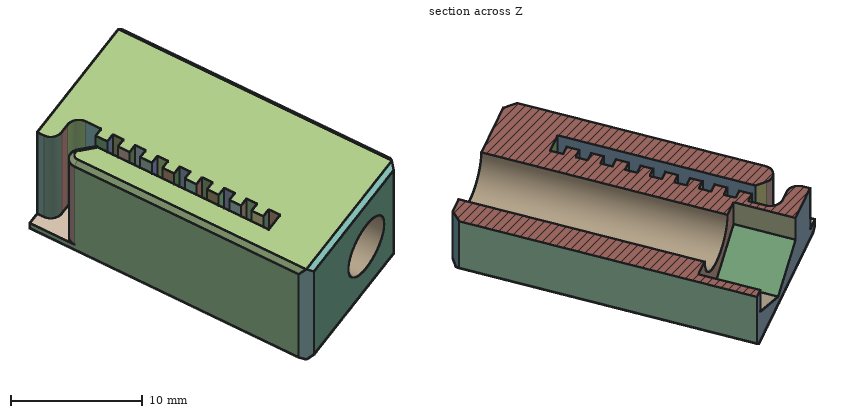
import cadquery as cq
import math

length = 24.9
width = 13.3
overall_height = 11.1
ridge_height = 0.1
height = overall_height - ridge_height
edge_chamfer = 0.42
corner_chamfer = 2 * edge_chamfer

bore_diameter = 5.2
bore_y = 8.47
bore_z = height / 2
hex_across_flats = 8.02
hex_depth = 5.0

slot_floor_z = 1.07
slot_front_y = 2.25
slot_back_y = 3.9
slot_end_x = 20.0
mouth_lip_y = 1.07
mouth_wall_x = 1.6
mouth_bend_radius = 1.0
tooth_count = 8
tooth_pitch = 2.0
tooth_width = 1.05
tooth_depth = 0.8
first_tooth_x = 3.98

nose_radius = 0.92
nose_x = 4.0
nose_start_angle = 135
nose_sweep = 135
ridge_thickness = 0.07
cut_margin = 0.25

diagonal = math.sqrt(0.5)
slope_start_x = nose_x - nose_radius * diagonal
slope_start_y = nose_radius * (1 + diagonal)
slope_end_x = slope_start_x + slot_front_y - slope_start_y


def make_block():
    blank = cq.Workplane("XY").box(length, width, height, centered=False)
    bevelled_sides = blank.edges("|X").chamfer(edge_chamfer)
    bevelled_end = blank.edges("|Y and >X").chamfer(edge_chamfer)
    cut_corners = blank.edges("|Z and >X").chamfer(corner_chamfer)
    return bevelled_sides.intersect(bevelled_end).intersect(cut_corners)


def make_bore():
    axis_plane = cq.Workplane("YZ").center(bore_y, bore_z)
    bore = axis_plane.circle(bore_diameter / 2).extrude(length)
    across_corners = hex_across_flats / math.cos(math.pi / 6)
    pocket = (
        axis_plane.transformed(rotate=(0, 0, 90))
        .polygon(6, across_corners)
        .extrude(hex_depth)
    )
    return bore.union(pocket)


def make_slot():
    r = mouth_bend_radius
    bend = r * diagonal
    slot = (
        cq.Workplane("XY", origin=(0, 0, slot_floor_z))
        .moveTo(-cut_margin, mouth_lip_y)
        .lineTo(mouth_wall_x - r, mouth_lip_y)
        .threePointArc(
            (mouth_wall_x - r + bend, mouth_lip_y + r - bend),
            (mouth_wall_x, mouth_lip_y + r),
        )
        .lineTo(mouth_wall_x, slot_back_y - r)
        .threePointArc(
            (mouth_wall_x + r - bend, slot_back_y - r + bend),
            (mouth_wall_x + r, slot_back_y),
        )
        .lineTo(slot_end_x, slot_back_y)
        .lineTo(slot_end_x, slot_front_y)
        .lineTo(slope_end_x, slot_front_y)
        .lineTo(slope_start_x, slope_start_y)
        .threePointArc((nose_x - nose_radius, nose_radius), (nose_x, 0))
        .lineTo(nose_x, -cut_margin)
        .lineTo(-cut_margin, -cut_margin)
        .close()
        .extrude(height)
    )
    for i in range(tooth_count):
        tooth = cq.Workplane("XY").box(tooth_width, tooth_depth, height, centered=False)
        tooth_x = first_tooth_x + i * tooth_pitch
        slot = slot.cut(tooth.translate((tooth_x, slot_back_y - tooth_depth, slot_floor_z)))
    return slot


def make_round_bevel():
    """Ring sector that bevels the top edge of the nose's round stretch."""
    return (
        cq.Workplane("XZ")
        .moveTo(nose_radius, height - edge_chamfer)
        .lineTo(nose_radius, height)
        .lineTo(nose_radius - edge_chamfer, height)
        .close()
        .revolve(nose_sweep, (0, 0), (0, 1))
        .rotate((0, 0, 0), (0, 0, 1), nose_start_angle)
        .translate((nose_x, nose_radius, 0))
    )


def slope_section():
    """Section across the nose's slope: local x points into the lever, local y points down."""
    return cq.Workplane(
        cq.Plane(origin=(slope_start_x, slope_start_y, height), xDir=(1, -1, 0), normal=(1, 1, 0))
    )


bevel_inner_y = slope_start_y - edge_chamfer * diagonal
bevel_length = (slot_front_y - bevel_inner_y) / diagonal


def make_slope_bevel():
    return (
        slope_section()
        .polyline([(0, 0), (edge_chamfer, 0), (0, edge_chamfer)])
        .close()
        .extrude(bevel_length)
    )


def make_ridge():
    """Thin raised lip along the inner edge of the slope's bevel."""
    return (
        slope_section()
        .moveTo(edge_chamfer, 0)
        .lineTo(edge_chamfer, -ridge_height)
        .lineTo(edge_chamfer + ridge_thickness, -ridge_height)
        .lineTo(edge_chamfer + ridge_thickness, 0)
        .close()
        .extrude(bevel_length)
    )


result = (
    make_block()
    .cut(make_bore())
    .cut(make_slot())
    .cut(make_round_bevel())
    .cut(make_slope_bevel())
    .union(make_ridge())
)